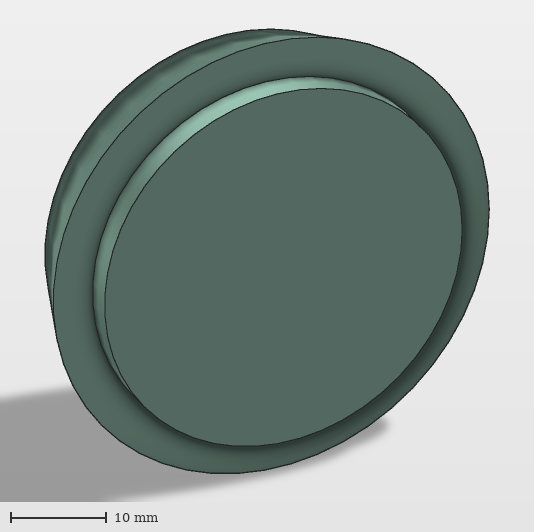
import cadquery as cq
import math

head_diameter = 50.0
head_length = 10.0
taper_angle = 20.0
spigot_diameter = 41.0
spigot_length = 3.0

head_radius = head_diameter / 2
spigot_radius = spigot_diameter / 2
face_radius = head_radius - head_length * math.tan(math.radians(taper_angle))
total_length = head_length + spigot_length

half_section = (
    cq.Workplane("XY")
    .moveTo(0, 0)
    .lineTo(0, face_radius)
    .lineTo(head_length, head_radius)
    .lineTo(head_length, spigot_radius)
    .lineTo(total_length, spigot_radius)
    .lineTo(total_length, 0)
    .close()
)

result = half_section.revolve(360, (0, 0, 0), (1, 0, 0))